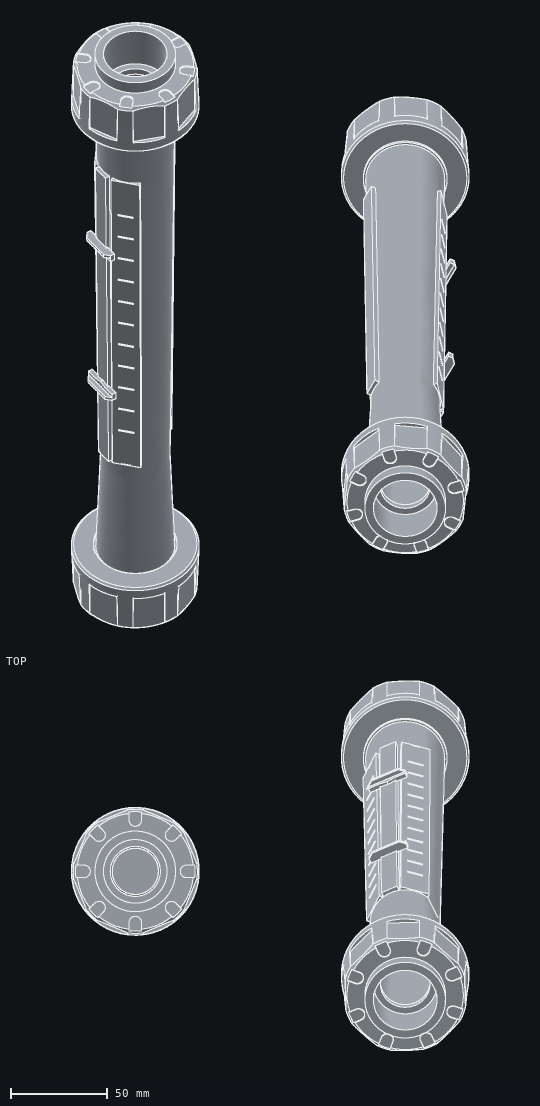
import cadquery as cq

LENGTH = 400.0
MIDDLE_Z = LENGTH / 2

NUT_DIAMETER = 66.0
NUT_RADIUS = NUT_DIAMETER / 2
NUT_TOP_RADIUS = 32.0
NUT_HEIGHT = 31.5
NUT_SETBACK = 7.5
NUT_RIM_CHAMFER = 1.0
NUT_TOP_CHAMFER = 2.0
LUG_COUNT = 8
FLAT_DISTANCE = 31.0
FLAT_BOTTOM = 7.0
FLAT_WIDTH = 17.0
NOTCH_RADIUS = 3.0
NOTCH_INNER_END = 23.0
NOTCH_DEPTH = 1.0

INSERT_RADIUS = 21.0
SOCKET_RADIUS = 16.5
INSERT_BORE_RADIUS = 13.0
INSERT_LENGTH = 28.0
SOCKET_DEPTH = 24.0

COLLAR_RADIUS = 21.5
COLLAR_SHIFT = 1.5
TUBE_END_RADIUS = 20.5
WAIST_RADIUS = 18.0
WAIST_Z = 105.5
WALL = 5.0
TUBE_BOTTOM_Z = INSERT_LENGTH
TUBE_TOP_Z = LENGTH - INSERT_LENGTH
NUT_INNER_END = NUT_SETBACK + NUT_HEIGHT
LOWER_COLLAR_Z = NUT_INNER_END - COLLAR_SHIFT
UPPER_COLLAR_Z = LENGTH - NUT_INNER_END - COLLAR_SHIFT

STRIP_BOTTOM_Z = 115.0
STRIP_TOP_Z = 325.0
STRIP_ROOT_RADIUS = 16.0
PANEL_RISE = 0.5
PANEL_WIDTH = 15.0
PANEL_ANGLE = 40
RAIL_RISE = 2.0
RAIL_WIDTH = 9.0

MARK_COUNT = 11
MARK_PITCH = 16.0
FIRST_MARK_Z = 140.0
MARK_LENGTH = 8.0
MARK_HEIGHT = 0.5
MARK_DEPTH = 0.5

POINTER_WIDTH = 21.0
PLATE_HEIGHT = 4.5
PLATE_REACH = 1.5
PLATE_DEPTH = 2.5
LEDGE_REACH = 2.5
LEDGE_FRONT_WIDTH = 15.0
LEDGE_HEIGHT = 2.0
TIP_WIDTH = 9.0
TIP_HEIGHT = 1.0
UPPER_POINTER_Z = 268.0
LOWER_POINTER_Z = 172.0

FLOAT_RADIUS = 12.0
FLOAT_HEIGHT = 24.0
FLOAT_BOTTOM_Z = 120.0


def tube_radius(z):
    """Outer radius of the tube's upper cone at height z."""
    rise = (z - WAIST_Z) / (UPPER_COLLAR_Z - WAIST_Z)
    return WAIST_RADIUS + (TUBE_END_RADIUS - WAIST_RADIUS) * rise


def revolved(points):
    """Solid of revolution about Z, from (radius, z) points, with its seam on the -X side."""
    profile = [(-radius, z) for radius, z in points]
    return cq.Workplane("XZ").polyline(profile).close().revolve(360, (0, 0, 0), (0, 1, 0))


def at_lower_end(body):
    """The same body at the other end of the meter."""
    return body.mirror("XY", (0, 0, MIDDLE_Z))


def make_nut():
    """Upper union nut, with flats between eight lugs and a notch on top of each lug."""
    bottom = LENGTH - NUT_INNER_END
    top = LENGTH - NUT_SETBACK
    flat_z = bottom + FLAT_BOTTOM
    nut = revolved([
        (COLLAR_RADIUS, bottom),
        (NUT_RADIUS - NUT_RIM_CHAMFER, bottom),
        (NUT_RADIUS, bottom + NUT_RIM_CHAMFER),
        (NUT_TOP_RADIUS, top - NUT_TOP_CHAMFER),
        (NUT_TOP_RADIUS - NUT_TOP_CHAMFER, top),
        (INSERT_RADIUS, top),
        (INSERT_RADIUS, TUBE_TOP_Z),
        (COLLAR_RADIUS, TUBE_TOP_Z),
    ])
    lug_angle = 360 / LUG_COUNT
    flat_cut = cq.Workplane("XY").box(NUT_RADIUS, FLAT_WIDTH, NUT_HEIGHT, centered=(False, True, False))
    flat_cut = flat_cut.translate((FLAT_DISTANCE, 0, flat_z))
    notch_center = NOTCH_INNER_END + NOTCH_RADIUS
    notch_cut = (
        cq.Workplane("XY", origin=(0, 0, top - NOTCH_DEPTH))
        .center(notch_center, 0)
        .circle(NOTCH_RADIUS)
        .extrude(NOTCH_DEPTH)
        .union(
            cq.Workplane("XY", origin=(notch_center, 0, top - NOTCH_DEPTH))
            .box(NUT_RADIUS, 2 * NOTCH_RADIUS, NOTCH_DEPTH, centered=(False, True, False))
        )
    )
    for lug in range(LUG_COUNT):
        angle = lug * lug_angle
        nut = nut.cut(flat_cut.rotate((0, 0, 0), (0, 0, 1), angle + lug_angle / 2))
        nut = nut.cut(notch_cut.rotate((0, 0, 0), (0, 0, 1), angle))
    return nut


def make_insert():
    """Upper socket insert, with a pipe socket above a narrower bore."""
    bottom = LENGTH - INSERT_LENGTH
    floor = LENGTH - SOCKET_DEPTH
    return revolved([
        (INSERT_BORE_RADIUS, bottom),
        (INSERT_RADIUS, bottom),
        (INSERT_RADIUS, LENGTH),
        (SOCKET_RADIUS, LENGTH),
        (SOCKET_RADIUS, floor),
        (INSERT_BORE_RADIUS, floor),
    ])


def raised_strip(rise, width, angle):
    """Flat strip that follows the taper of the tube, angle measured about Z from -Y."""
    strip = (
        cq.Workplane("YZ")
        .polyline([
            (-STRIP_ROOT_RADIUS, STRIP_BOTTOM_Z),
            (-tube_radius(STRIP_BOTTOM_Z) - rise, STRIP_BOTTOM_Z),
            (-tube_radius(STRIP_TOP_Z) - rise, STRIP_TOP_Z),
            (-STRIP_ROOT_RADIUS, STRIP_TOP_Z),
        ])
        .close()
        .extrude(width / 2, both=True)
    )
    return strip.rotate((0, 0, 0), (0, 0, 1), angle)


def mark_cut(z, angle):
    """Shallow slot for one graduation mark on a scale panel."""
    face = tube_radius(z) + PANEL_RISE
    slot = cq.Workplane("XY").box(MARK_LENGTH, 2 * MARK_DEPTH, MARK_HEIGHT)
    return slot.translate((0, -face, z)).rotate((0, 0, 0), (0, 0, 1), angle)


def make_tube():
    """Measuring tube with end collars, scale panels, guide rails and graduation marks."""
    tube = revolved([
        (TUBE_END_RADIUS - WALL, TUBE_BOTTOM_Z),
        (COLLAR_RADIUS, TUBE_BOTTOM_Z),
        (COLLAR_RADIUS, LOWER_COLLAR_Z),
        (TUBE_END_RADIUS, LOWER_COLLAR_Z),
        (WAIST_RADIUS, WAIST_Z),
        (TUBE_END_RADIUS, UPPER_COLLAR_Z),
        (COLLAR_RADIUS, UPPER_COLLAR_Z),
        (COLLAR_RADIUS, TUBE_TOP_Z),
        (TUBE_END_RADIUS - WALL, TUBE_TOP_Z),
        (WAIST_RADIUS - WALL, WAIST_Z),
    ])
    for angle in (0, 180):
        tube = tube.union(raised_strip(RAIL_RISE, RAIL_WIDTH, angle))
    for angle in (-PANEL_ANGLE, PANEL_ANGLE):
        tube = tube.union(raised_strip(PANEL_RISE, PANEL_WIDTH, angle))
        for mark in range(MARK_COUNT):
            tube = tube.cut(mark_cut(FIRST_MARK_Z + mark * MARK_PITCH, angle))
    return tube


def make_pointer(tip_z, direction):
    """Clip over the front rail; its tip points up (+1) or down (-1) at height tip_z."""
    front = -tube_radius(tip_z) - RAIL_RISE - PLATE_REACH
    plate_bottom = TIP_HEIGHT
    plate_top = plate_bottom + PLATE_HEIGHT
    outline = [
        (-POINTER_WIDTH / 2, plate_top),
        (-POINTER_WIDTH / 2, plate_bottom),
        (-TIP_WIDTH / 2, plate_bottom),
        (0, 0),
        (TIP_WIDTH / 2, plate_bottom),
        (POINTER_WIDTH / 2, plate_bottom),
        (POINTER_WIDTH / 2, plate_top),
    ]
    plate = cq.Workplane("XZ", origin=(0, front, 0)).polyline(outline).close().extrude(-PLATE_DEPTH)
    ledge_outline = [
        (-POINTER_WIDTH / 2, front),
        (-LEDGE_FRONT_WIDTH / 2, front - LEDGE_REACH),
        (LEDGE_FRONT_WIDTH / 2, front - LEDGE_REACH),
        (POINTER_WIDTH / 2, front),
    ]
    ledge_bottom = plate_top - LEDGE_HEIGHT
    ledge = (
        cq.Workplane("XY", origin=(0, 0, ledge_bottom))
        .polyline(ledge_outline)
        .close()
        .extrude(LEDGE_HEIGHT)
    )
    pointer = plate.union(ledge)
    if direction > 0:
        pointer = pointer.mirror("XY")
    return pointer.translate((0, 0, tip_z)).cut(raised_strip(RAIL_RISE, RAIL_WIDTH, 0))


def make_float():
    """Cylindrical float inside the tube."""
    base = cq.Workplane("XY", origin=(0, 0, FLOAT_BOTTOM_Z))
    return base.circle(FLOAT_RADIUS).extrude(FLOAT_HEIGHT)


tube = make_tube()
upper_nut = make_nut()
upper_insert = make_insert()
nuts = [upper_nut, at_lower_end(upper_nut)]
inserts = [upper_insert, at_lower_end(upper_insert)]
pointers = [make_pointer(UPPER_POINTER_Z, -1), make_pointer(LOWER_POINTER_Z, 1)]
float_body = make_float()

bodies = [tube, *nuts, *inserts, *pointers, float_body]
result = cq.Compound.makeCompound([body.val() for body in bodies])